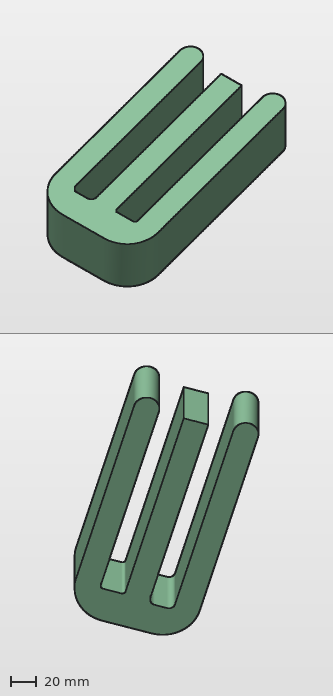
import cadquery as cq

length = 200.0
width = 100.0
height = 50.0
corner_radius = 30.0

prong_width = 20.0
prong_tip_radius = prong_width / 2
slot_width = (width - 3 * prong_width) / 2
slot_offset = (prong_width + slot_width) / 2
middle_prong_setback = prong_tip_radius

left_slot_radius = 5.0
right_slot_radius = left_slot_radius / 2
left_slot_floor = corner_radius - left_slot_radius
right_slot_floor = corner_radius - right_slot_radius


def block(x_center, y_start, x_size, y_size):
    """Full-height block centred on x_center, growing in +Y from y_start."""
    return (
        cq.Workplane("XY")
        .center(x_center, y_start + y_size / 2)
        .rect(x_size, y_size)
        .extrude(height)
    )


def make_body():
    """Block with rounded base corners."""
    return block(0, 0, width, length).edges("|Z and <Y").fillet(corner_radius)


def make_slot(x_center, floor, radius):
    """Slot open at the +Y end, with rounded corners at its floor."""
    return block(x_center, floor, slot_width, length - floor).edges("|Z and <Y").fillet(radius)


body = make_body()
body = body.cut(make_slot(-slot_offset, left_slot_floor, left_slot_radius))
body = body.cut(make_slot(slot_offset, right_slot_floor, right_slot_radius))

body = body.cut(block(0, length - middle_prong_setback, prong_width, middle_prong_setback))

tip_center_y = length - prong_tip_radius
for side in (-1, 1):
    prong_x = side * (width - prong_width) / 2
    tip = block(prong_x, tip_center_y, prong_width, prong_tip_radius)
    disc = cq.Workplane("XY").center(prong_x, tip_center_y).circle(prong_tip_radius).extrude(height)
    body = body.cut(tip.cut(disc))

result = body